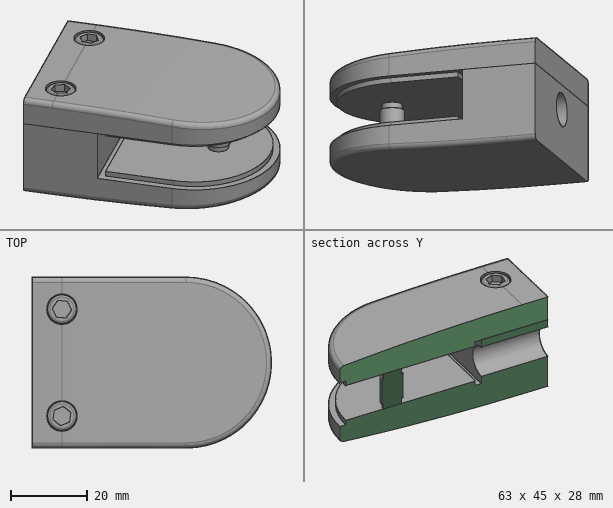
import cadquery as cq
import math

length = 63.0
width = 45.0
height = 28.0
nose_radius = width / 2
nose_x = length - nose_radius
crown_start_x = 7.9
crown_drop = 2.2
edge_fillet = 1.4

slot_back_x = 20.15
slot_height = 13.5
pad_back_x = 21.9
pad_thickness = 1.4
pad_inset = 1.8
jaw_z = slot_height / 2
pad_face_z = jaw_z - pad_thickness

bore_diameter = 9.1

pin_x = 47.0
pin_end_diameter = 5.5
pin_collar_diameter = 6.55
pin_collar_height = 7.55

screw_x = crown_start_x
screw_y = 14.05
recess_diameter = 8.0
recess_depth = 3.0
head_diameter = 7.55
head_top_gap = 0.1
head_round = 0.55
socket_across_flats = 4.4
socket_depth = 2.0
socket_angles = {screw_y: -5.0, -screw_y: 22.0}


def rounded_plan(back_x, inset, bottom_z, top_z):
    """Slab with a square back, parallel sides and a concentric round nose."""
    radius = nose_radius - inset
    return (
        cq.Workplane("XY", origin=(0, 0, bottom_z))
        .moveTo(back_x, -radius)
        .lineTo(nose_x, -radius)
        .threePointArc((nose_x + radius, 0), (nose_x, radius))
        .lineTo(back_x, radius)
        .close()
        .extrude(top_z - bottom_z)
    )


def crowned_jaw():
    """Upper jaw slab whose top curves down, tangent to its flat back part."""
    run = length - crown_start_x
    crown_radius = (run**2 + crown_drop**2) / (2 * crown_drop)
    middle_run = run / 2
    middle_drop = crown_radius - math.sqrt(crown_radius**2 - middle_run**2)
    top_z = height / 2
    profile = (
        cq.Workplane("XZ")
        .moveTo(0, jaw_z)
        .lineTo(0, top_z)
        .lineTo(crown_start_x, top_z)
        .threePointArc(
            (crown_start_x + middle_run, top_z - middle_drop),
            (length, top_z - crown_drop),
        )
        .lineTo(length, jaw_z)
        .close()
        .extrude(nose_radius, both=True)
    )
    jaw = rounded_plan(0, 0, jaw_z, top_z).intersect(profile)
    rim = [
        edge for edge in jaw.edges().vals()
        if edge.Center().z > top_z - crown_drop
        and edge.BoundingBox().zmin > jaw_z + 0.6
        and (abs(edge.Center().y) > 0.6 or edge.Center().x > nose_x)
    ]
    return jaw.newObject(rim).fillet(edge_fillet)


def padded_jaw():
    """Upper jaw with the pad raised on its inner face."""
    return crowned_jaw().union(rounded_plan(pad_back_x, pad_inset, pad_face_z, jaw_z))


def screw_head():
    """Rounded head with a hexagon socket, its top centre at the origin."""
    head_height = recess_depth - head_top_gap
    socket_diameter = socket_across_flats / math.cos(math.pi / 6)
    return (
        cq.Workplane("XY")
        .circle(head_diameter / 2)
        .extrude(-head_height)
        .faces(">Z").edges().fillet(head_round)
        .cut(cq.Workplane("XY").polygon(6, socket_diameter).extrude(-socket_depth))
    )


def make_cover():
    """Upper half of the clamp with the two screw heads in their recesses."""
    cover = padded_jaw()
    for y, angle in socket_angles.items():
        recess = (
            cq.Workplane("XY", origin=(screw_x, y, height / 2))
            .circle(recess_diameter / 2)
            .extrude(-recess_depth)
        )
        head = screw_head().rotate((0, 0, 0), (0, 0, 1), angle)
        cover = cover.cut(recess)
        cover = cover.union(head.translate((screw_x, y, height / 2 - head_top_gap)))
    return cover


def make_base():
    """Lower half: mirrored jaw, block behind the slot and mounting bore."""
    block = cq.Workplane("XY").box(
        slot_back_x, width, slot_height, centered=(False, True, True)
    )
    bore = cq.Workplane("YZ").circle(bore_diameter / 2).extrude(slot_back_x)
    return padded_jaw().mirror("XY").union(block).cut(bore)


def make_pin():
    """Pin with a wider collar, reaching from pad to pad."""
    shaft = (
        cq.Workplane("XY", origin=(pin_x, 0, -pad_face_z))
        .circle(pin_end_diameter / 2)
        .extrude(2 * pad_face_z)
    )
    collar = (
        cq.Workplane("XY", origin=(pin_x, 0, -pin_collar_height / 2))
        .circle(pin_collar_diameter / 2)
        .extrude(pin_collar_height)
    )
    return shaft.union(collar)


cover = make_cover()
base = make_base()
pin = make_pin()

result = cq.Compound.makeCompound([cover.val(), base.val(), pin.val()])